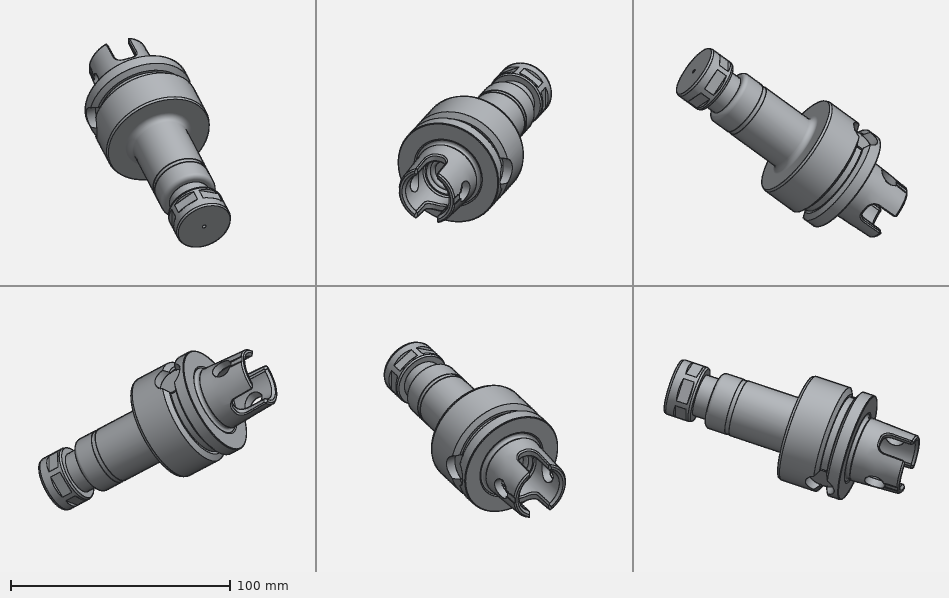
import cadquery as cq
import math

LENGTH = 115.0

SHANK_TIP_R = 13.2
TAPER_START_X = 0.8
TAPER_START_R = 13.9
TAPER_END_X = 23.1
TAPER_SLOPE = 0.05
TAPER_END_R = TAPER_START_R + TAPER_SLOPE * (TAPER_END_X - TAPER_START_X)
RELIEF_LENGTH = 0.5
RELIEF_R = 14.4

FLANGE_X = 25.1
FLANGE_END_X = 55.0
FLANGE_R = 50.0 / 2
FLANGE_FRONT_CHAMFER = 0.3
FLANGE_REAR_CHAMFER = 1.2
FLANGE_REAR_CHAMFER_DROP = 0.5
FACE_RECESS_R = 17.0
FACE_RECESS_FLOOR_R = 16.3
FACE_RECESS_DEPTH = 0.3
RECESS_FLOOR_X = FLANGE_X + FACE_RECESS_DEPTH
RELIEF_FILLET = 1.2

GROOVE_CENTRE_X = 34.0
GROOVE_MOUTH_WIDTH = 6.7
GROOVE_FLOOR_WIDTH = 3.5
GROOVE_FLOOR_R = 21.0
GROOVE_FLANK_ANGLE = 30.0
GROOVE_FLANK_LENGTH = (GROOVE_MOUTH_WIDTH - GROOVE_FLOOR_WIDTH) / 2
GROOVE_FLANK_HEIGHT = GROOVE_FLANK_LENGTH / math.tan(math.radians(GROOVE_FLANK_ANGLE))

NOSE_R = 13.2
NOSE_FILLET = 2.8
NOSE_END_X = 95.3
NOSE_END_FILLET = 2.1
BAND_X = 83.0
BAND_END_X = 85.1
BAND_R = 26.0 / 2

NECK_R = 9.8
NUT_X = 102.1
NUT_R = 13.1
NUT_CHAMFER_LENGTH = 1.0
NUT_CHAMFER_DROP = 0.5
NUT_FLAT_COUNT = 6
NUT_FLAT_DISTANCE = 12.0
NUT_FLAT_X = 104.5
NUT_FLAT_END_X = 109.7
NUT_FLAT_BEVEL = 0.5

BORE_MOUTH_R = 12.1
BORE_R = 10.8
BORE_CHAMFER = 1.2
BORE_END_X = 21.3
SEAT_R = 10.1
SEAT_X = 22.1
POCKET_R = 19.0 / 2
POCKET_END_X = 32.2
TUBE_R = 8.3
TUBE_INNER_R = 6.4
TUBE_TIP_X = 23.0
TUBE_FLOOR_X = 25.3

COUNTERBORE_R = 3.5
COUNTERBORE_END_X = 29.9
FEED_R = 1.7
FEED_END_X = 46.0
CHANNEL_R = 0.86

SLOT_WIDTH = 10.0
SLOT_END_X = 13.9
SLOT_CORNER_R = 3.8
SLOT_CHAMFER = 0.7
SLOT_MOUTH_FLARE = 0.8
SLOT_MOUTH_LENGTH = 1.4
CROSS_HOLE_R = 9.5 / 2
CROSS_HOLE_X = 11.4
KEY_GROOVE_WIDTH = 3.2
KEY_GROOVE_FLOOR_Y = 13.6

FLAT_R = 14.0 / 2
FLAT_X = 34.2
FLAT_Y = 20.5
DISC_FOOT_Y = 17.2


def revolve(profile):
    """Close a radius profile and turn it about the X axis."""
    return profile.close().revolve(360, (0, 0), (1, 0))


def drive_slot():
    """Cutter for the drive slots: rounded end corners and a flared mouth, running through along Z."""
    half_width = SLOT_WIDTH / 2
    corner_x = SLOT_END_X - SLOT_CORNER_R
    corner_y = half_width - SLOT_CORNER_R
    return (
        cq.Workplane("XY", origin=(0, 0, -FLANGE_R))
        .moveTo(0, -half_width - SLOT_MOUTH_FLARE)
        .lineTo(SLOT_MOUTH_LENGTH, -half_width)
        .lineTo(corner_x, -half_width)
        .radiusArc((SLOT_END_X, -corner_y), -SLOT_CORNER_R)
        .lineTo(SLOT_END_X, corner_y)
        .radiusArc((corner_x, half_width), -SLOT_CORNER_R)
        .lineTo(SLOT_MOUTH_LENGTH, half_width)
        .lineTo(0, half_width + SLOT_MOUTH_FLARE)
        .close()
        .extrude(2 * FLANGE_R)
    )


def shank():
    """Tapered shank with the drive slots cut through it along Z and their inner and outer rims chamfered."""
    taper_tip_r = TAPER_START_R - TAPER_SLOPE * TAPER_START_X
    profile = revolve(
        cq.Workplane("XY")
        .lineTo(0, SHANK_TIP_R)
        .lineTo(TAPER_START_X, TAPER_START_R)
        .lineTo(TAPER_END_X, TAPER_END_R)
        .lineTo(TAPER_END_X + RELIEF_LENGTH, RELIEF_R)
        .lineTo(RECESS_FLOOR_X, RELIEF_R)
        .lineTo(RECESS_FLOOR_X, 0)
    )
    wall = revolve(
        cq.Workplane("XY")
        .moveTo(0, BORE_R)
        .lineTo(0, taper_tip_r)
        .lineTo(RECESS_FLOOR_X, taper_tip_r + TAPER_SLOPE * RECESS_FLOOR_X)
        .lineTo(RECESS_FLOOR_X, 0)
        .lineTo(BORE_END_X, 0)
        .lineTo(BORE_END_X, BORE_R)
    )
    slot_region = cq.selectors.BoxSelector(
        (SLOT_MOUTH_LENGTH, -SLOT_WIDTH, -FLANGE_R), (SLOT_END_X + SLOT_CHAMFER, SLOT_WIDTH, FLANGE_R)
    )
    rims = wall.cut(drive_slot()).edges(slot_region).edges("not |Z")
    return rims.chamfer(SLOT_CHAMFER).intersect(profile)


def flange_and_nose():
    """Solid turned body from the flange face to the end of the clamping nut."""
    groove_mouth = GROOVE_CENTRE_X - GROOVE_MOUTH_WIDTH / 2
    groove_floor = GROOVE_CENTRE_X - GROOVE_FLOOR_WIDTH / 2
    groove_floor_end = GROOVE_CENTRE_X + GROOVE_FLOOR_WIDTH / 2
    groove_mouth_end = GROOVE_CENTRE_X + GROOVE_MOUTH_WIDTH / 2
    flank_foot_r = FLANGE_R - GROOVE_FLANK_HEIGHT
    return revolve(
        cq.Workplane("XY")
        .moveTo(RECESS_FLOOR_X - RELIEF_FILLET, 0)
        .lineTo(RECESS_FLOOR_X - RELIEF_FILLET, RELIEF_R)
        .radiusArc((RECESS_FLOOR_X, RELIEF_R + RELIEF_FILLET), -RELIEF_FILLET)
        .lineTo(RECESS_FLOOR_X, FACE_RECESS_FLOOR_R)
        .lineTo(FLANGE_X, FACE_RECESS_R)
        .lineTo(FLANGE_X, FLANGE_R - FLANGE_FRONT_CHAMFER)
        .lineTo(FLANGE_X + FLANGE_FRONT_CHAMFER, FLANGE_R)
        .lineTo(groove_mouth, FLANGE_R)
        .lineTo(groove_floor, flank_foot_r)
        .lineTo(groove_floor, GROOVE_FLOOR_R)
        .lineTo(groove_floor_end, GROOVE_FLOOR_R)
        .lineTo(groove_floor_end, flank_foot_r)
        .lineTo(groove_mouth_end, FLANGE_R)
        .lineTo(FLANGE_END_X - FLANGE_REAR_CHAMFER, FLANGE_R)
        .lineTo(FLANGE_END_X, FLANGE_R - FLANGE_REAR_CHAMFER_DROP)
        .lineTo(FLANGE_END_X, NOSE_R + NOSE_FILLET)
        .radiusArc((FLANGE_END_X + NOSE_FILLET, NOSE_R), -NOSE_FILLET)
        .lineTo(BAND_X, NOSE_R)
        .lineTo(BAND_X, BAND_R)
        .lineTo(BAND_END_X, BAND_R)
        .lineTo(BAND_END_X, NOSE_R)
        .lineTo(NOSE_END_X - NOSE_END_FILLET, NOSE_R)
        .radiusArc((NOSE_END_X, NOSE_R - NOSE_END_FILLET), NOSE_END_FILLET)
        .lineTo(NOSE_END_X, NECK_R)
        .lineTo(NUT_X, NECK_R)
        .lineTo(NUT_X, NUT_R - NUT_CHAMFER_DROP)
        .lineTo(NUT_X + NUT_CHAMFER_LENGTH, NUT_R)
        .lineTo(LENGTH - NUT_CHAMFER_LENGTH, NUT_R)
        .lineTo(LENGTH, NUT_R - NUT_CHAMFER_DROP)
        .lineTo(LENGTH, 0)
    )


def shank_bore():
    """Space inside the shank, leaving a coolant tube with a rounded tip standing in the pocket."""
    lip_r = (TUBE_R - TUBE_INNER_R) / 2
    return revolve(
        cq.Workplane("XY")
        .lineTo(0, BORE_MOUTH_R)
        .lineTo(BORE_CHAMFER, BORE_R)
        .lineTo(BORE_END_X, BORE_R)
        .lineTo(SEAT_X, SEAT_R)
        .lineTo(SEAT_X, POCKET_R)
        .lineTo(POCKET_END_X, POCKET_R)
        .lineTo(POCKET_END_X, TUBE_R)
        .lineTo(TUBE_TIP_X + lip_r, TUBE_R)
        .threePointArc((TUBE_TIP_X, TUBE_R - lip_r), (TUBE_TIP_X + lip_r, TUBE_INNER_R))
        .lineTo(TUBE_FLOOR_X, TUBE_INNER_R)
        .lineTo(TUBE_FLOOR_X, 0)
    )


def coolant_channel():
    return revolve(
        cq.Workplane("XY")
        .lineTo(0, COUNTERBORE_R)
        .lineTo(COUNTERBORE_END_X, COUNTERBORE_R)
        .lineTo(COUNTERBORE_END_X, FEED_R)
        .lineTo(FEED_END_X, FEED_R)
        .lineTo(FEED_END_X, CHANNEL_R)
        .lineTo(LENGTH, CHANNEL_R)
        .lineTo(LENGTH, 0)
    )


def cross_hole():
    return (
        cq.Workplane("XZ")
        .center(CROSS_HOLE_X, 0)
        .circle(CROSS_HOLE_R)
        .extrude(FLANGE_R, both=True)
    )


def key_groove(side):
    """Cutter from the shank tip to the cross hole, on the +Y (side = 1) or -Y (side = -1) side."""
    return cq.Workplane("XY").box(CROSS_HOLE_X, FLANGE_R, KEY_GROOVE_WIDTH).translate(
        (CROSS_HOLE_X / 2, side * (KEY_GROOVE_FLOOR_Y + FLANGE_R / 2), 0)
    )


def flange_disc(side, start_y, end_y):
    """Disc along Y between two distances from the axis, on the +Y or -Y side."""
    return (
        cq.Workplane("XZ", origin=(FLAT_X, side * start_y, 0))
        .circle(FLAT_R)
        .extrude(-side * (end_y - start_y))
    )


def nut_flat(angle):
    """Cutter for one wrench flat with bevelled ends, turned about the X axis."""
    rise = NUT_R - NUT_FLAT_DISTANCE
    return (
        cq.Workplane("XY")
        .moveTo(NUT_FLAT_X, NUT_FLAT_DISTANCE)
        .lineTo(NUT_FLAT_END_X, NUT_FLAT_DISTANCE)
        .lineTo(NUT_FLAT_END_X + NUT_FLAT_BEVEL, NUT_FLAT_DISTANCE + rise)
        .lineTo(NUT_FLAT_X - NUT_FLAT_BEVEL, NUT_FLAT_DISTANCE + rise)
        .close()
        .extrude(NUT_R, both=True)
        .rotate((0, 0, 0), (1, 0, 0), angle)
    )


result = shank().union(flange_and_nose())
for cutter in (shank_bore(), coolant_channel(), cross_hole()):
    result = result.cut(cutter)
for side in (1, -1):
    result = result.cut(key_groove(side))
    result = result.union(flange_disc(side, DISC_FOOT_Y, FLAT_Y))
    result = result.cut(flange_disc(side, FLAT_Y, FLANGE_R))
for index in range(NUT_FLAT_COUNT):
    result = result.cut(nut_flat(index * 360 / NUT_FLAT_COUNT))